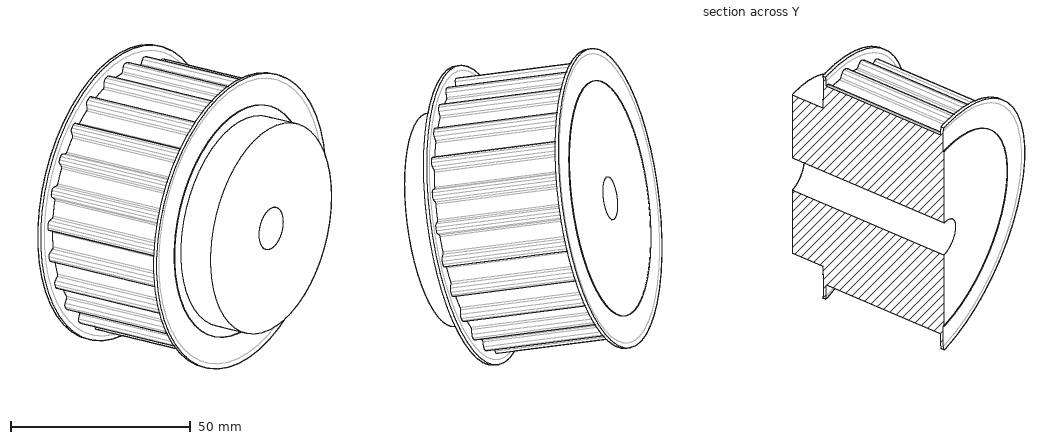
import cadquery as cq
import math


tooth_count = 25
tip_radius = 38.8
groove_depth = 2.35
groove_floor_width = 5.2
flank_angle = 25.0
root_fillet = 0.6
tip_fillet = 1.0

flange_radius = 42.0
flange_flat_radius = 40.6
flange_thickness = 1.0
rim_bend = 0.235

belt_section_length = 40.0
total_length = 50.0
core_radius = 33.0
hub_radius = 30.0
bore_diameter = 12.0

pitch_angle = 360 / tooth_count
root_radius = tip_radius - groove_depth
mid_tooth_radius = (root_radius + tip_radius) / 2
teeth_start = rim_bend + flange_thickness / 2
teeth_length = belt_section_length - 2 * teeth_start
cutter_clearance = 0.8


def cylinder(radius, start, length):
    """Solid cylinder along X."""
    return cq.Workplane("YZ", origin=(start, 0, 0)).circle(radius).extrude(length)


def make_groove_cutter():
    """One groove, centred on +Z, with a floor concentric to the axis."""
    floor_half = groove_floor_width / 2
    floor_corner = math.sqrt(root_radius**2 - floor_half**2)
    mouth = tip_radius + cutter_clearance
    mouth_half = floor_half + (mouth - floor_corner) * math.tan(math.radians(flank_angle))
    return (
        cq.Workplane("YZ", origin=(teeth_start, 0, 0))
        .moveTo(-floor_half, floor_corner)
        .threePointArc((0, root_radius), (floor_half, floor_corner))
        .lineTo(mouth_half, mouth)
        .lineTo(-mouth_half, mouth)
        .close()
        .extrude(teeth_length)
    )


def lengthwise_edges(body, at_tip):
    """Edges along the teeth, either at the tips or at the groove floors."""
    selected = []
    for edge in body.edges("|X").vals():
        middle = edge.Center()
        is_tip_edge = math.hypot(middle.y, middle.z) > mid_tooth_radius
        if is_tip_edge == at_tip:
            selected.append(edge)
    return body.newObject(selected)


def make_toothed_ring():
    """Grooved cylinder with one tooth centred on +Z."""
    ring = cylinder(tip_radius, teeth_start, teeth_length)
    cutter = make_groove_cutter()
    for index in range(tooth_count):
        angle = (index + 0.5) * pitch_angle
        ring = ring.cut(cutter.rotate((0, 0, 0), (1, 0, 0), angle))
    ring = lengthwise_edges(ring, at_tip=False).fillet(root_fillet)
    return lengthwise_edges(ring, at_tip=True).fillet(tip_fillet)


def make_flange():
    """Flange for the X = 0 end, with its rim bent toward -X."""
    return (
        cq.Workplane("XY")
        .moveTo(rim_bend, 0)
        .lineTo(rim_bend, flange_flat_radius)
        .lineTo(0, flange_radius)
        .lineTo(flange_thickness, flange_radius)
        .lineTo(flange_thickness + rim_bend, flange_flat_radius)
        .lineTo(flange_thickness + rim_bend, 0)
        .close()
        .revolve(360, (0, 0, 0), (1, 0, 0))
    )


near_flange = make_flange()
far_flange = near_flange.mirror("YZ").translate((belt_section_length, 0, 0))
core = cylinder(core_radius, 0, belt_section_length)
hub = cylinder(hub_radius, 0, total_length)
bore = cylinder(bore_diameter / 2, 0, total_length)

result = (
    make_toothed_ring()
    .union(near_flange)
    .union(far_flange)
    .union(core)
    .union(hub)
    .cut(bore)
)